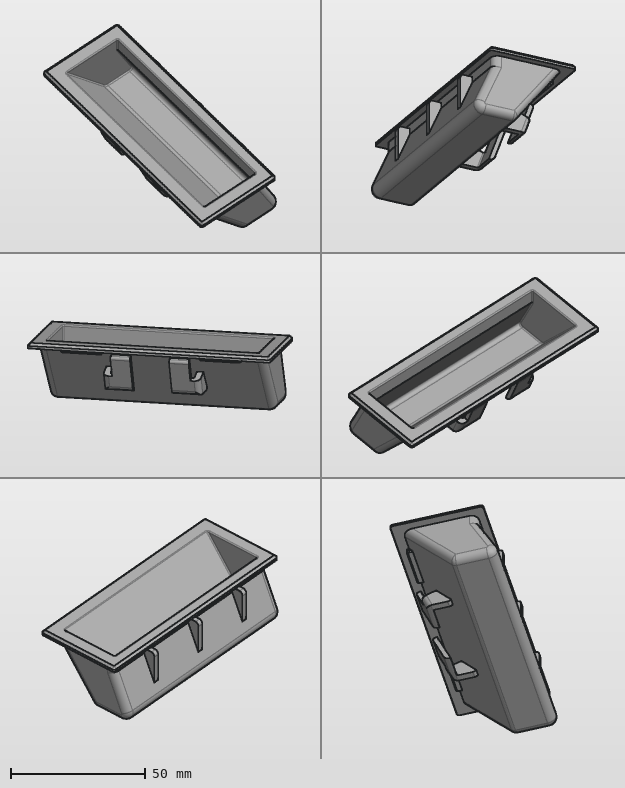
import cadquery as cq
import math

flange_length = 93.0
flange_width = 36.0
flange_thickness = 2.0
flange_corner_radius = 1.1
flange_bevel = 1.0

flange_overhang = 3.0
tub_length = flange_length - 2 * flange_overhang
tub_depth = 26.0
tub_back_y = flange_width / 2 - flange_overhang
tub_back_reach = 22.0
back_bend_z = -6.0
back_bottom_radius = 3.5
end_radius = 3.0
front_slope = math.radians(38.3)
front_bottom_y = 5.1
front_bottom_radius = 2.0

end_wall = 3.0
back_wall = 2.0
front_wall = 2.7
floor_thickness = 2.0
pocket_front_radius = 2.3
pocket_edge_radius = 0.5
mouth_radius = 0.5

rib_xs = (-25.0, 0.0, 25.0)
rib_width = 2.2
rib_reach = 20.0
rib_top_z = -3.7
rib_bottom_z = -20.0
rib_corner_radius = 1.5

clip_inner_x = 7.5
clip_step_x = 15.0
clip_outer_x = 18.6
clip_thickness = 2.0
wing_thickness = 2.5
clip_lean = math.radians(20.0)
clip_top_y = -14.85
clip_top_z = -3.2
clip_bottom_z = -17.7
wing_drop = 8.4
clip_bend_radius = 2.2
clip_bottom_radius = 2.4
clip_inner_bend_radius = 0.5
clip_top_radius = 1.0
wing_foot_y = -2.0
wing_foot_radius = 1.5

pad_inner_x = 18.6
pad_length = 16.0
pad_front_y = -15.0
pad_height = 1.65
pad_corner_radius = 1.0
pad_bevel = 0.55


def side_prism(points, x_from, x_to):
    """Extrude a (Y, Z) polygon along X."""
    outline = cq.Workplane("YZ", origin=(x_from, 0, 0)).polyline(points).close()
    return outline.extrude(x_to - x_from)


def mirror_pair(body):
    """The body together with its mirror image about X = 0."""
    return body.union(body.mirror("YZ"))


def back_lean_angle():
    """Lean of the back wall that makes it tangent to the bottom round reaching tub_back_reach."""
    to_centre_y = tub_back_reach - back_bottom_radius - tub_back_y
    to_centre_z = back_bend_z + tub_depth - back_bottom_radius
    distance = math.hypot(to_centre_y, to_centre_z)
    return math.atan2(to_centre_y, to_centre_z) + math.asin(back_bottom_radius / distance)


def tub_profile(inset_back=0.0, inset_front=0.0, inset_floor=0.0):
    """(Y, Z) corners of the tub section with its walls moved inward by the given thicknesses."""
    lean = back_lean_angle()
    bottom_z = -tub_depth + inset_floor
    top_y = tub_back_y - inset_back
    bend_z = back_bend_z - inset_back * math.tan(lean / 2)
    front_top_y = front_bottom_y - tub_depth * math.tan(front_slope) + inset_front / math.cos(front_slope)
    return [
        (top_y, 0),
        (top_y, bend_z),
        (top_y + (bend_z - bottom_z) * math.tan(lean), bottom_z),
        (front_top_y - bottom_z * math.tan(front_slope), bottom_z),
        (front_top_y, 0),
    ]


def tub_shape(profile, length, back_radius, front_radius, edge_radius):
    """Closed tub body with rounded bottom edges and rounded end outlines, flat at Z = 0."""
    body = side_prism(profile, -length / 2, length / 2)
    body = body.faces("<Z").edges(">Y").fillet(back_radius)
    body = body.faces("<Z").edges("<Y").fillet(front_radius)
    return body.faces("<X or >X").edges("not >Z").fillet(edge_radius)


def make_flange():
    flange = cq.Workplane("XY", origin=(0, 0, -flange_thickness)).rect(flange_length, flange_width)
    flange = flange.extrude(flange_thickness)
    flange = flange.edges("|Z").fillet(flange_corner_radius)
    return flange.faces(">Z").edges().chamfer(flange_bevel)


def make_tub():
    return tub_shape(tub_profile(), tub_length, back_bottom_radius, front_bottom_radius, end_radius)


def make_pocket():
    profile = tub_profile(back_wall, front_wall, floor_thickness)
    back_radius = back_bottom_radius - back_wall
    length = tub_length - 2 * end_wall
    return tub_shape(profile, length, back_radius, pocket_front_radius, pocket_edge_radius)


def make_rib(x):
    """Upright rib whose lower end and front are buried in the back wall."""
    depth = rib_reach - tub_back_y
    height = rib_top_z - rib_bottom_z
    rib = cq.Workplane("XY").box(rib_width, depth, height, centered=(True, False, False))
    rib = rib.edges(">Y and >Z").fillet(rib_corner_radius)
    return rib.translate((x, tub_back_y, rib_bottom_z))


def clip_block(from_x, to_x, from_depth, to_depth, height):
    """Block leaning with the clip and hanging from its top; depth runs back from the plate's rear face."""
    plane = cq.Plane(
        origin=(0, clip_top_y, clip_top_z),
        xDir=(1, 0, 0),
        normal=(0, -math.sin(clip_lean), math.cos(clip_lean)),
    )
    middle = ((from_x + to_x) / 2, (from_depth + to_depth) / 2)
    return cq.Workplane(plane).center(*middle).rect(to_x - from_x, to_depth - from_depth).extrude(-height)


def make_clip():
    """Clip on the +X side: a rounded block, hollowed behind its plate and notched above its wing."""
    ample = tub_depth
    sin_lean = math.sin(clip_lean)
    cos_lean = math.cos(clip_lean)
    tan_lean = math.tan(clip_lean)
    tip_y = clip_top_y - clip_thickness * cos_lean
    tip_z = clip_top_z - clip_thickness * sin_lean
    toe_y = tip_y + (tip_z - clip_bottom_z) * tan_lean
    foot_top_z = tip_z + (wing_foot_y - tip_y) * tan_lean
    side = [
        (tip_y, tip_z),
        (wing_foot_y, foot_top_z),
        (wing_foot_y, clip_bottom_z),
        (toe_y, clip_bottom_z),
    ]
    clip = side_prism(side, clip_inner_x, clip_outer_x)
    clip = clip.faces("<Z").edges(">Y").fillet(wing_foot_radius)
    clip = clip.faces("<Z").edges("<Y").fillet(clip_bottom_radius)
    bend = clip_block(0, clip_outer_x, -clip_thickness, ample, ample)
    bend = bend.edges(">X").edges("<Y").fillet(clip_bend_radius)
    clip = clip.intersect(bend)

    hollow = clip_block(0, clip_outer_x - wing_thickness, 0, ample, ample)
    hollow = hollow.edges(">X").edges("<Y").fillet(clip_inner_bend_radius)
    notch = clip_block(clip_step_x, flange_length, -ample, ample, wing_drop)
    clip = clip.cut(hollow).cut(notch)
    return clip.edges("|X").edges("<Y").fillet(clip_top_radius)


def make_pad():
    """Pad on the +X side; its hidden rear half is buried in the tub."""
    pad = cq.Workplane("XY").box(pad_length, -pad_front_y, pad_height, centered=False)
    pad = pad.edges("|Z and <Y").fillet(pad_corner_radius)
    pad = pad.faces("<Z").edges().chamfer(pad_bevel)
    return pad.translate((pad_inner_x, pad_front_y, -flange_thickness - pad_height))


result = make_flange().union(make_tub())
result = result.union(mirror_pair(make_pad())).union(mirror_pair(make_clip()))
for x in rib_xs:
    result = result.union(make_rib(x))
result = result.cut(make_pocket())

mouth_zone = cq.selectors.BoxSelector(
    (-tub_length / 2, -tub_back_y, -flange_thickness),
    (tub_length / 2, tub_back_y, flange_thickness),
)
result = result.faces(">Z").edges(mouth_zone).fillet(mouth_radius)